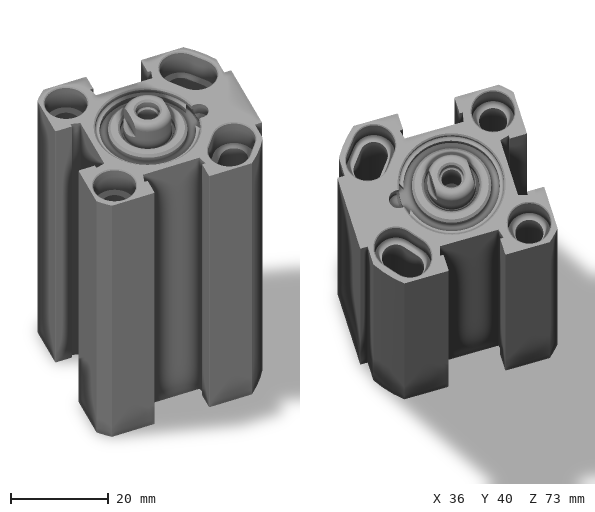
import cadquery as cq
import math


total_height = 73.0
rod_reach = 5.0
housing_height = total_height - rod_reach
body_width = 36.0
half_width = body_width / 2
body_depth = 40.0
turned_diameter = 47.6
rail_half_width = 8.1
rail_top = body_depth - half_width
shoulder_y = 20.45

slot_floor = 12.35
slot_lip = 14.3
slot_mouth_half = 6.05
slot_undercut_half = 6.8
slot_floor_half = 6.3
mouth_corner_radius = 0.2

bolt_offset = 12.8
bolt_hole_diameter = 5.8
bolt_seat_diameter = 8.8
bolt_seat_depth = 5.9
rim_chamfer = 0.2
chamfer_angle = 45
slot_hole_shift_x = 2.8
slot_hole_shift_y = 2.2

bore_diameter = 21.6
bore_chamfer = 0.3
ring_depth = 1.1
ring_thickness = 1.25
flange_depth = ring_depth + ring_thickness
groove_diameter = 22.8
groove_floor_depth = 3.0
notch_width = 3.95
notch_center_y = 11.4
notch_depth = 2.7

ring_inner_diameter = 19.8
ring_gap_inner_half = 2.55
ring_gap_inner_y = 9.55
ring_gap_outer_half = 3.7
ring_gap_outer_y = 10.15

cover_length = 14.6
cover_neck_diameter = 16.3
cover_top_depth = 0.3
cover_top_chamfer = 0.5
neck_fillet = 0.5
seal_seat_diameter = 11.4
seal_seat_chamfer = 0.45
seal_top_depth = 1.75
seal_thickness = 2.9
seal_lip_diameter = 10.5
seal_lip_height = 0.3

rod_diameter = 10.0
rod_end_fillet = 1.4
flat_width = 8.0
flat_height = 3.6
rod_hole_mouth_diameter = 5.8
thread_diameter = 5.0
thread_depth = 1.8
rod_hole_diameter = 4.15
rod_hole_depth = 10.2
drill_half_angle = math.radians(59)

housing_top = housing_height
cover_top = housing_top - cover_top_depth
cover_bottom = housing_top - cover_length
seal_top = housing_top - seal_top_depth
seal_bottom = seal_top - seal_thickness


def cylinder(diameter, bottom, top):
    """A cylinder on the main axis between two heights."""
    return cq.Workplane("XY").workplane(offset=bottom).circle(diameter / 2).extrude(top - bottom)


def cone(bottom_diameter, top_diameter, bottom, top):
    """A cone or frustum on the main axis between two heights."""
    solid = cq.Solid.makeCone(
        bottom_diameter / 2, top_diameter / 2, top - bottom, cq.Vector(0, 0, bottom)
    )
    return cq.Workplane("XY").add(solid)


def mouth_rounding(side):
    """Material outside the rounded corner between a slot side and the -Y face."""
    r = mouth_corner_radius
    x = side * slot_mouth_half
    corner = cq.Workplane("XY").moveTo(x, -half_width).lineTo(x, -half_width + r)
    arc_mid = (x + side * r * (1 - math.sqrt(0.5)), -half_width + r * (1 - math.sqrt(0.5)))
    corner = corner.threePointArc(arc_mid, (x + side * r, -half_width))
    return corner.close().extrude(housing_height)


def sensor_slot(angle):
    """Undercut slot along the housing, cut for the -Y side and turned about Z."""
    right_side = [
        (slot_mouth_half, -half_width),
        (slot_mouth_half, -slot_lip),
        (slot_undercut_half, -slot_lip),
        (slot_floor_half, -slot_floor),
    ]
    left_side = [(-x, y) for x, y in reversed(right_side)]
    slot = cq.Workplane("XY").polyline(right_side + left_side).close().extrude(housing_height)
    for side in (-1, 1):
        slot = slot.union(mouth_rounding(side))
    return slot.rotate((0, 0, 0), (0, 0, 1), angle)


def long_hole(side, diameter, start, end, taper=0):
    """Oblong hole in a +Y corner, running from the bolt pattern towards the rail."""
    length = math.hypot(slot_hole_shift_x, slot_hole_shift_y) + diameter
    angle = math.degrees(math.atan2(slot_hole_shift_y, -side * slot_hole_shift_x))
    center_x = side * (bolt_offset - slot_hole_shift_x / 2)
    center_y = bolt_offset + slot_hole_shift_y / 2
    plane = cq.Workplane("XY").workplane(offset=start).center(center_x, center_y)
    return plane.slot2D(length, diameter, angle).extrude(end - start, taper=taper)


def round_hole(side, diameter, start, end, taper=0):
    """Round hole in a -Y corner."""
    plane = cq.Workplane("XY").workplane(offset=start).center(side * bolt_offset, -bolt_offset)
    return plane.circle(diameter / 2).extrude(end - start, taper=taper)


def mounting_hole(hole, side):
    """Through hole with a seat for the bolt head and a chamfered rim."""
    through = hole(side, bolt_hole_diameter, 0, housing_top)
    seat = hole(side, bolt_seat_diameter, housing_top - bolt_seat_depth, housing_top)
    rim_diameter = bolt_seat_diameter + 2 * rim_chamfer
    rim = hole(side, rim_diameter, housing_top, housing_top - rim_chamfer, chamfer_angle)
    return through.union(seat).union(rim)


def make_housing():
    core_depth = half_width + shoulder_y
    core = cq.Workplane("XY").center(0, (shoulder_y - half_width) / 2)
    body = core.rect(body_width, core_depth).extrude(housing_height)
    body = body.intersect(cylinder(turned_diameter, 0, housing_height))
    rail = cq.Workplane("XY").center(0, rail_top / 2)
    body = body.union(rail.rect(2 * rail_half_width, rail_top).extrude(housing_height))
    for angle in (0, 90, -90):
        body = body.cut(sensor_slot(angle))

    for side in (-1, 1):
        body = body.cut(mounting_hole(round_hole, side))
        body = body.cut(mounting_hole(long_hole, side))

    body = body.cut(cylinder(bore_diameter, cover_bottom, housing_top))
    entry_diameter = bore_diameter + 2 * bore_chamfer
    body = body.cut(cone(bore_diameter, entry_diameter, housing_top - bore_chamfer, housing_top))
    groove_floor = housing_top - groove_floor_depth
    body = body.cut(cylinder(groove_diameter, groove_floor, housing_top - ring_depth))

    notch = cq.Workplane("XY").workplane(offset=housing_top - notch_depth)
    round_end = notch.center(0, notch_center_y).circle(notch_width / 2).extrude(notch_depth)
    opening = notch.center(0, notch_center_y / 2).rect(notch_width, notch_center_y)
    opening = opening.extrude(notch_depth)
    return body.cut(round_end).cut(opening)


def make_ring():
    bottom = housing_top - flange_depth
    top = housing_top - ring_depth
    ring = cylinder(groove_diameter, bottom, top).cut(cylinder(ring_inner_diameter, bottom, top))
    slope = (ring_gap_outer_half - ring_gap_inner_half) / (ring_gap_outer_y - ring_gap_inner_y)
    far_y = groove_diameter / 2
    near_y = ring_gap_inner_y - ring_gap_inner_half / slope
    far_half = ring_gap_inner_half + slope * (far_y - ring_gap_inner_y)
    gap = cq.Workplane("XY").workplane(offset=bottom)
    gap = gap.polyline([(0, near_y), (far_half, far_y), (-far_half, far_y)]).close()
    gap = gap.extrude(ring_thickness)
    return ring.cut(gap)


def make_cover():
    flange_radius = bore_diameter / 2
    neck_radius = cover_neck_diameter / 2
    flange_top = housing_top - flange_depth
    fillet_center = (neck_radius + neck_fillet, flange_top + neck_fillet)
    fillet_reach = neck_fillet * math.sqrt(0.5)
    profile = (
        cq.Workplane("XZ")
        .moveTo(0, cover_bottom)
        .lineTo(flange_radius, cover_bottom)
        .lineTo(flange_radius, flange_top)
        .lineTo(neck_radius + neck_fillet, flange_top)
        .threePointArc(
            (fillet_center[0] - fillet_reach, fillet_center[1] - fillet_reach),
            (neck_radius, flange_top + neck_fillet),
        )
        .lineTo(neck_radius, cover_top - cover_top_chamfer)
        .lineTo(neck_radius - cover_top_chamfer, cover_top)
        .lineTo(0, cover_top)
        .close()
    )
    cover = profile.revolve(360, (0, 0), (0, 1))
    cover = cover.cut(cylinder(rod_diameter, cover_bottom, seal_bottom))
    cover = cover.cut(cylinder(seal_seat_diameter, seal_bottom, cover_top))
    mouth_bottom = cover_top - seal_seat_chamfer
    mouth_diameter = seal_seat_diameter + 2 * seal_seat_chamfer
    return cover.cut(cone(seal_seat_diameter, mouth_diameter, mouth_bottom, cover_top))


def make_seal():
    lip_top = seal_top + seal_lip_height
    seal = cylinder(seal_seat_diameter, seal_bottom, seal_top)
    seal = seal.union(cylinder(seal_lip_diameter, seal_top, lip_top))
    return seal.cut(cylinder(rod_diameter, seal_bottom, lip_top))


def make_rod():
    rod = cylinder(rod_diameter, cover_bottom, total_height)
    rod = rod.faces(">Z").edges().fillet(rod_end_fillet)

    flat_bottom = total_height - flat_height
    rod_radius = rod_diameter / 2
    slope_run = rod_radius - flat_width / 2
    for side in (-1, 1):
        profile = [
            (side * flat_width / 2, total_height),
            (side * flat_width / 2, flat_bottom),
            (side * rod_radius, flat_bottom - slope_run),
            (side * rod_radius, total_height),
        ]
        flat = cq.Workplane("YZ").polyline(profile).close().extrude(rod_radius, both=True)
        rod = rod.cut(flat)

    thread_bottom = total_height - thread_depth
    mouth_drop = (rod_hole_mouth_diameter - thread_diameter) / 2
    shelf_drop = (thread_diameter - rod_hole_diameter) / 2 / math.tan(drill_half_angle)
    hole_bottom = total_height - rod_hole_depth
    tip_drop = rod_hole_diameter / 2 / math.tan(drill_half_angle)
    mouth_bottom = total_height - mouth_drop
    rod = rod.cut(cone(thread_diameter, rod_hole_mouth_diameter, mouth_bottom, total_height))
    rod = rod.cut(cylinder(thread_diameter, thread_bottom, total_height))
    rod = rod.cut(cone(rod_hole_diameter, thread_diameter, thread_bottom - shelf_drop, thread_bottom))
    rod = rod.cut(cylinder(rod_hole_diameter, hole_bottom, total_height))
    return rod.cut(cone(0, rod_hole_diameter, hole_bottom - tip_drop, hole_bottom))


housing = make_housing()
ring = make_ring()
cover = make_cover()
seal = make_seal()
rod = make_rod()

result = cq.Compound.makeCompound([housing.val(), ring.val(), cover.val(), seal.val(), rod.val()])